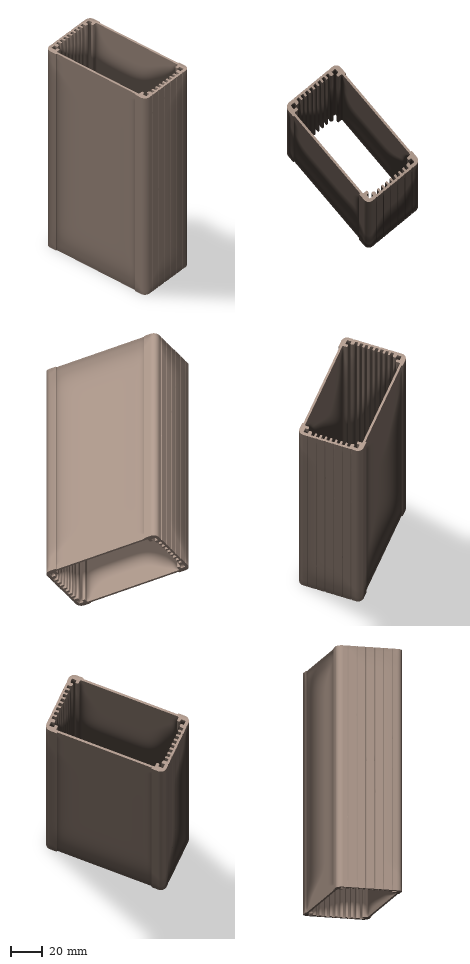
import cadquery as cq

width = 84.0
depth = 44.2
length = 160.0
outer_radius = 4.0

face_recess = 0.75
recess_margin = 9.0
face_wall = 1.5
side_wall = 1.5
face_inner = face_recess + face_wall

lining_x = 7.5
lining_y = 8.8
channel_start_x = 2.2
channel_end_x = 5.5
channel_start_y = 3.4
channel_end_y = 6.4
side_lip_x = 4.5
face_lip_y = 5.5
root_radius = 0.72
channel_radius = 0.5
face_lip_radius = 0.6
side_lip_radius = 0.3
side_lip_back_radius = 1.1

fin_count = 7
fin_pitch = 3.5
fin_thickness = 1.5
fin_reach = 4.0

groove_count = 6
groove_pitch = 6.0
groove_width = 0.72
groove_depth = 0.3

pick_margin = 0.02


def bar(x_size, y_size, x_centre=0, y_centre=0):
    """Full-length rectangular bar."""
    return cq.Workplane("XY").center(x_centre, y_centre).rect(x_size, y_size).extrude(length)


def centred_positions(count, pitch):
    return [(i - (count - 1) / 2) * pitch for i in range(count)]


def edge_at(x, y):
    """Selector for the upright edge through (x, y)."""
    return cq.selectors.BoxSelector(
        (x - pick_margin, y - pick_margin, 0),
        (x + pick_margin, y + pick_margin, length),
    )


def shell():
    """Rounded rectangular tube with recessed long faces."""
    tube = bar(width, depth).edges("|Z").fillet(outer_radius)
    tube = tube.cut(bar(width - 2 * side_wall, depth - 2 * face_inner))
    for side in (-1, 1):
        recess_centre = side * (depth - face_recess) / 2
        tube = tube.cut(bar(width - 2 * recess_margin, face_recess, 0, recess_centre))
    return tube


def corner_lining():
    """Lining of the -X -Y corner: two lips around a screw channel that opens diagonally inward."""
    lining = (
        cq.Workplane("XY")
        .moveTo(side_wall, face_inner)
        .lineTo(lining_x + root_radius, face_inner)
        .radiusArc((lining_x, face_inner + root_radius), root_radius)
        .lineTo(lining_x, face_lip_y)
        .lineTo(channel_end_x, face_lip_y)
        .lineTo(channel_end_x, channel_start_y)
        .lineTo(channel_start_x, channel_start_y)
        .lineTo(channel_start_x, channel_end_y)
        .lineTo(side_lip_x, channel_end_y)
        .lineTo(side_lip_x, lining_y)
        .lineTo(side_wall, lining_y)
        .close()
        .extrude(length)
    )
    rounded_edges = [
        (lining_x, face_lip_y, face_lip_radius),
        (channel_end_x, face_lip_y, face_lip_radius),
        (channel_end_x, channel_start_y, channel_radius),
        (side_lip_x, channel_end_y, side_lip_radius),
        (side_lip_x, lining_y, side_lip_back_radius),
    ]
    for x, y, radius in rounded_edges:
        lining = lining.edges(edge_at(x, y)).fillet(radius)
    return lining.translate((-width / 2, -depth / 2, 0))


def fins():
    """Row of fins on the inside of the -X wall."""
    fin_length = fin_reach - side_wall
    fin_centre = -width / 2 + side_wall + fin_length / 2
    centres = [(fin_centre, y) for y in centred_positions(fin_count, fin_pitch)]
    return cq.Workplane("XY").pushPoints(centres).rect(fin_length, fin_thickness).extrude(length)


def grooves():
    """Round cutters for the grooves on the outside of the -X wall."""
    radius = (groove_width**2 / 4 + groove_depth**2) / (2 * groove_depth)
    cutter_x = -width / 2 + groove_depth - radius
    centres = [(cutter_x, y) for y in centred_positions(groove_count, groove_pitch)]
    return cq.Workplane("XY").pushPoints(centres).circle(radius).extrude(length)


lining = corner_lining()
side_details = fins().union(lining).union(lining.mirror("XZ"))
groove_cutters = grooves()

result = shell().union(side_details).union(side_details.mirror("YZ"))
result = result.cut(groove_cutters).cut(groove_cutters.mirror("YZ"))